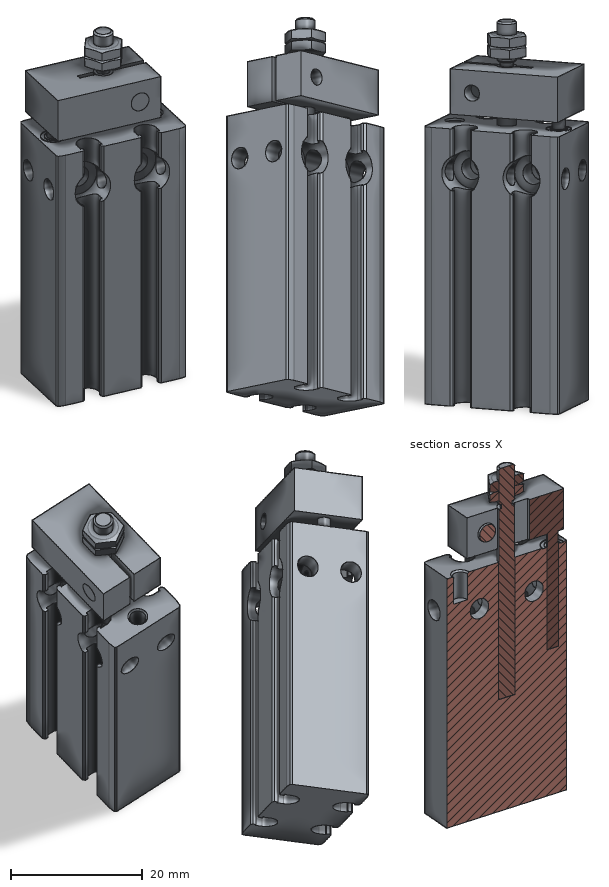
import cadquery as cq
import math

overall_height = 59.0

housing_width = 13.0
housing_length = 22.0
housing_height = 42.95
corner_flat_inset = 0.55
corner_knee_x = 0.2
corner_knee_y = 0.2
corner_run = 1.3
corner_flank_bulge = 0.07

groove_offset = 4.9
groove_mouth = 2.85
groove_width = 3.6
groove_lip = 0.8
groove_lip_chamfer_y = 0.35
groove_lip_chamfer_x = 0.3
groove_straight = 1.9

mount_hole_diameter = 3.3
mount_hole_drop = 6.95
side_hole_offset = 5.0
end_hole_offset = 3.5
counterbore_diameter = 6.0
counterbore_depth = 4.7

port_diameter = 2.5
port_mouth_diameter = 3.0
port_depth = 4.7
guide_offset = 8.5

rod_diameter = 3.0
neck_diameter = 2.0
rod_insertion = 23.6
stud_bottom = 52.7
stud_chamfer = 0.3

block_width = 11.0
block_length = 17.5
block_height = 7.0
block_gap = 2.05
block_back_inset = 3.95
slit_width = 0.8
slit_reach = 4.15

guide_diameter = 2.0
guide_insertion = 17.7
guide_ring_outer_diameter = 3.9
guide_ring_inner_diameter = 2.7
guide_ring_depth = 0.1

screw_diameter = 3.0
screw_hole_diameter = 2.5
screw_hole_depth = 2.85
screw_inset = 3.55

nut_across_flats = 5.5
nut_count = 2
nut_height = 1.75
nut_bottom = 53.45
nut_chamfer_circle = 4.6
nut_chamfer_height = 0.25

half_width = housing_width / 2
half_length = housing_length / 2
mount_hole_z = housing_height - mount_hole_drop
block_bottom = housing_height + block_gap
block_top = block_bottom + block_height
block_back = half_length - block_back_inset
block_centre_y = block_back - block_length / 2
screw_y = block_back - screw_inset
screw_z = block_bottom + block_height / 2
screw_end_x = -block_width / 2 + screw_hole_depth


def cylinder(diameter, bottom, top, x=0, y=0):
    return cq.Workplane("XY", origin=(x, y, bottom)).circle(diameter / 2).extrude(top - bottom)


def cone(bottom_diameter, top_diameter, bottom, top, y=0):
    solid = cq.Solid.makeCone(bottom_diameter / 2, top_diameter / 2, top - bottom, cq.Vector(0, y, bottom))
    return cq.Workplane(solid)


def cylinder_along_x(diameter, start, end, y, z):
    return cq.Workplane("YZ", origin=(start, y, z)).circle(diameter / 2).extrude(end - start)


def corner_points(sign_x, sign_y):
    """End-face end, knee, flank middle and flank end of one corner."""
    flank_middle = (corner_knee_y + corner_run) / 2
    insets = [
        (corner_flat_inset, 0),
        (corner_knee_x, corner_knee_y),
        (corner_flank_bulge, flank_middle),
        (0, corner_run),
    ]
    return [(sign_x * (half_width - x), sign_y * (half_length - y)) for x, y in insets]


def housing_block():
    back_right = corner_points(1, 1)
    back_left = corner_points(-1, 1)
    front_left = corner_points(-1, -1)
    front_right = corner_points(1, -1)
    outline = (
        cq.Workplane("XY")
        .moveTo(*back_right[3]).threePointArc(back_right[2], back_right[1]).lineTo(*back_right[0])
        .lineTo(*back_left[0]).lineTo(*back_left[1]).threePointArc(back_left[2], back_left[3])
        .lineTo(*front_left[3]).threePointArc(front_left[2], front_left[1]).lineTo(*front_left[0])
        .lineTo(*front_right[0]).lineTo(*front_right[1]).threePointArc(front_right[2], front_right[3])
        .close()
    )
    return outline.extrude(housing_height)


def switch_groove(side, centre_y):
    """Undercut groove with a round bottom in the side face at side * X."""
    mouth = groove_mouth / 2
    half = groove_width / 2

    def at(depth, offset):
        return (side * (half_width - depth), centre_y + offset)

    return (
        cq.Workplane("XY")
        .moveTo(*at(0, mouth + groove_lip_chamfer_y))
        .lineTo(*at(groove_lip_chamfer_x, mouth))
        .lineTo(*at(groove_lip, mouth))
        .lineTo(*at(groove_lip, half))
        .lineTo(*at(groove_straight, half))
        .threePointArc(at(groove_straight + half, 0), at(groove_straight, -half))
        .lineTo(*at(groove_lip, -half))
        .lineTo(*at(groove_lip, -mouth))
        .lineTo(*at(groove_lip_chamfer_x, -mouth))
        .lineTo(*at(0, -mouth - groove_lip_chamfer_y))
        .close()
        .extrude(housing_height)
    )


def side_mount_hole(y):
    hole = cylinder_along_x(mount_hole_diameter, -half_width, half_width, y, mount_hole_z)
    for side in (-1, 1):
        floor = side * (half_width - counterbore_depth)
        hole = hole.union(cylinder_along_x(counterbore_diameter, floor, side * half_width, y, mount_hole_z))
    return hole


def end_mount_hole(x):
    plane = cq.Workplane("XZ", origin=(x, half_length, mount_hole_z))
    return plane.circle(mount_hole_diameter / 2).extrude(housing_length)


def guide_ring_groove():
    """Shallow ring around the guide pin in the housing top."""
    floor = housing_height - guide_ring_depth
    outer = cylinder(guide_ring_outer_diameter, floor, housing_height, y=-guide_offset)
    return outer.cut(cylinder(guide_ring_inner_diameter, floor, housing_height, y=-guide_offset))


def make_housing():
    body = housing_block()
    for side in (-1, 1):
        for direction in (-1, 1):
            body = body.cut(switch_groove(side, direction * groove_offset))
    for direction in (-1, 1):
        body = body.cut(side_mount_hole(direction * side_hole_offset))
        body = body.cut(end_mount_hole(direction * end_hole_offset))
    port_chamfer = (port_mouth_diameter - port_diameter) / 2
    body = body.cut(cylinder(port_diameter, housing_height - port_depth, housing_height, y=guide_offset))
    body = body.cut(
        cone(port_diameter, port_mouth_diameter, housing_height - port_chamfer, housing_height, guide_offset)
    )
    body = body.cut(cylinder(rod_diameter, housing_height - rod_insertion, housing_height))
    body = body.cut(
        cylinder(guide_diameter, housing_height - guide_insertion, housing_height, y=-guide_offset)
    )
    return body.cut(guide_ring_groove())


def make_rod():
    """Rod with a thin neck above the block and a stud that carries the nuts."""
    shaft = cylinder(rod_diameter, housing_height - rod_insertion, block_top)
    neck = cylinder(neck_diameter, block_top, stud_bottom)
    stud = cylinder(rod_diameter, stud_bottom, overall_height).faces("<Z or >Z").chamfer(stud_chamfer)
    return shaft.union(neck).union(stud)


def make_block():
    """Slit block clamped on the rod, with the guide pin hanging from its underside."""
    body = cq.Workplane("XY", origin=(0, block_centre_y, block_bottom)).box(
        block_width, block_length, block_height, centered=(True, True, False)
    )
    slit_length = block_back + slit_reach
    slit = cq.Workplane("XY", origin=(0, block_back - slit_length / 2, block_bottom)).box(
        slit_width, slit_length, block_height, centered=(True, True, False)
    )
    body = body.cut(slit).cut(cylinder(rod_diameter, block_bottom, block_top))
    body = body.cut(cylinder_along_x(screw_hole_diameter, -block_width / 2, screw_end_x, screw_y, screw_z))
    body = body.cut(cylinder_along_x(screw_diameter, screw_end_x, block_width / 2, screw_y, screw_z))
    pin = cylinder(guide_diameter, housing_height - guide_insertion, block_bottom, y=-guide_offset)
    return body.union(pin)


def make_screw():
    """Shank across the slit, flush with the +X side of the block."""
    return cylinder_along_x(screw_diameter, screw_end_x, block_width / 2, screw_y, screw_z)


def make_nut(bottom):
    """Hexagon nut, corners along Y, with its corners chamfered at both ends."""
    hexagon = (
        cq.Workplane("XY", origin=(0, 0, bottom))
        .polygon(6, nut_across_flats, circumscribed=True)
        .extrude(nut_height)
    )
    corner_diameter = nut_across_flats / math.cos(math.pi / 6)
    rim = (corner_diameter - nut_chamfer_circle) / 2
    envelope = cylinder(corner_diameter, bottom, bottom + nut_height)
    envelope = envelope.faces("<Z or >Z").chamfer(nut_chamfer_height, rim)
    return hexagon.intersect(envelope).cut(cylinder(rod_diameter, bottom, bottom + nut_height))


housing = make_housing()
rod = make_rod()
block = make_block()
screw = make_screw()
nuts = [make_nut(nut_bottom + index * nut_height) for index in range(nut_count)]

result = cq.Compound.makeCompound(
    [housing.val(), rod.val(), block.val(), screw.val(), *[nut.val() for nut in nuts]]
)